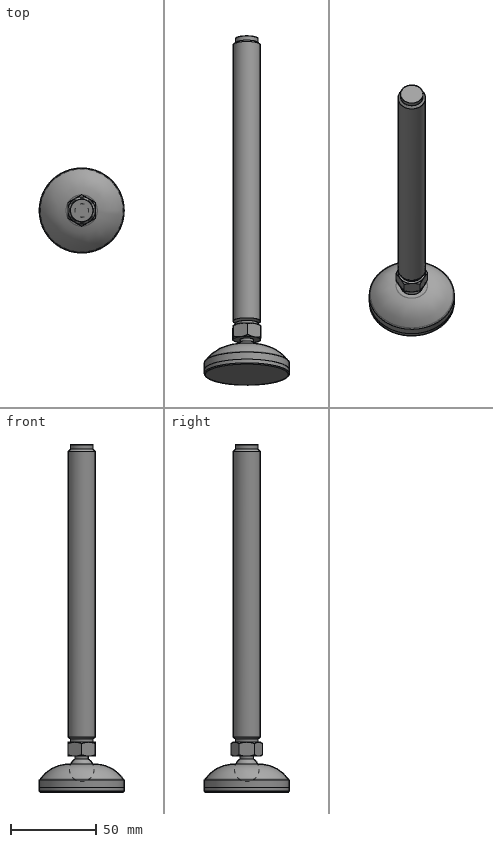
import cadquery as cq
import math

TOTAL_HEIGHT = 204.2

BASE_RADIUS = 50.0 / 2
PAD_HEIGHT = 2.9
PAD_CHAMFER = 0.6
RIM_TOP = 7.1
FOOT_TOP = 16.5
FOOT_FLAT_RADIUS = 9.2
DOME_RADIUS = 20.5
RIM_CHAMFER = 0.6

BALL_RADIUS = 14.5 / 2
BALL_CENTER_Z = 13.5
NECK_RADIUS = 8.0 / 2

HEX_BOTTOM = 21.2
HEX_TOP = 29.5
HEX_FLATS = 16.1
HEX_CHAMFER_HEIGHT = 0.8

ROD_RADIUS = 16.1 / 2
ROD_END_RADIUS = 13.3 / 2
ROD_BOTTOM = 32.5
ROD_CHAMFER_HEIGHT = 1.2
TIP_LENGTH = 2.7


def make_pad():
    """Flat disc under the foot, with its floor edge chamfered."""
    return cq.Workplane("XY").circle(BASE_RADIUS).extrude(PAD_HEIGHT).faces("<Z").chamfer(PAD_CHAMFER)


def make_socket():
    """Spherical space that the ball fills."""
    return cq.Workplane("XY").sphere(BALL_RADIUS).translate((0, 0, BALL_CENTER_Z))


def make_foot():
    """Domed foot with a spherical socket that fits the ball."""
    profile = (
        cq.Workplane("XZ")
        .moveTo(0, PAD_HEIGHT)
        .lineTo(BASE_RADIUS, PAD_HEIGHT)
        .lineTo(BASE_RADIUS, RIM_TOP)
        .lineTo(BASE_RADIUS - RIM_CHAMFER, RIM_TOP + RIM_CHAMFER)
        .radiusArc((FOOT_FLAT_RADIUS, FOOT_TOP), -DOME_RADIUS)
        .lineTo(0, FOOT_TOP)
        .close()
    )
    return profile.revolve(360, (0, 0), (0, 1)).cut(make_socket())


def make_hexagon():
    """Hexagon with flats facing X and its corners chamfered at both ends."""
    corner_diameter = HEX_FLATS / math.cos(math.pi / 6)
    height = HEX_TOP - HEX_BOTTOM
    prism = cq.Workplane("XY").polygon(6, corner_diameter).extrude(height).rotate((0, 0, 0), (0, 0, 1), 30)
    corner_cone = (
        cq.Workplane("XY")
        .circle(corner_diameter / 2)
        .extrude(height)
        .edges()
        .chamfer(HEX_CHAMFER_HEIGHT, (corner_diameter - HEX_FLATS) / 2)
    )
    return prism.intersect(corner_cone).translate((0, 0, HEX_BOTTOM))


def make_rod():
    """Rod with a chamfer down to a narrower end at the top and at the hexagon."""
    tip_bottom = TOTAL_HEIGHT - TIP_LENGTH
    profile = (
        cq.Workplane("XZ")
        .moveTo(0, HEX_TOP)
        .lineTo(ROD_END_RADIUS, HEX_TOP)
        .lineTo(ROD_END_RADIUS, ROD_BOTTOM - ROD_CHAMFER_HEIGHT)
        .lineTo(ROD_RADIUS, ROD_BOTTOM)
        .lineTo(ROD_RADIUS, tip_bottom - ROD_CHAMFER_HEIGHT)
        .lineTo(ROD_END_RADIUS, tip_bottom)
        .lineTo(ROD_END_RADIUS, TOTAL_HEIGHT)
        .lineTo(0, TOTAL_HEIGHT)
        .close()
    )
    return profile.revolve(360, (0, 0), (0, 1))


def make_ball_and_neck():
    """Ball running into the cylindrical neck below the hexagon."""
    neck_start = BALL_CENTER_Z + math.sqrt(BALL_RADIUS**2 - NECK_RADIUS**2)
    profile = (
        cq.Workplane("XZ")
        .moveTo(0, BALL_CENTER_Z - BALL_RADIUS)
        .threePointArc((BALL_RADIUS, BALL_CENTER_Z), (NECK_RADIUS, neck_start))
        .lineTo(NECK_RADIUS, HEX_BOTTOM)
        .lineTo(0, HEX_BOTTOM)
        .close()
    )
    return profile.revolve(360, (0, 0), (0, 1))


def make_spindle():
    """Ball, neck, hexagon and rod in one piece."""
    return make_ball_and_neck().union(make_hexagon()).union(make_rod())


pad = make_pad()
foot = make_foot()
spindle = make_spindle()

result = cq.Compound.makeCompound([pad.val(), foot.val(), spindle.val()])